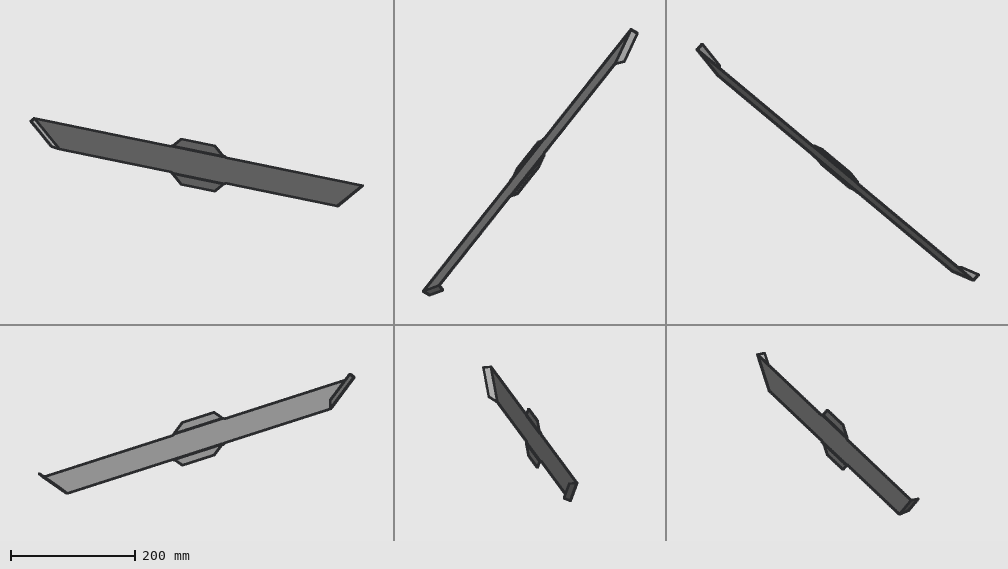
import cadquery as cq
import math

length = 593.5
depth = 13.0
height = 80.0
sheet = 0.9

strip_height = 45.0
half_length = length / 2
half_strip = strip_height / 2

flange_taper = 8.0

tab_step = 1.5
tab_tip_width = 60.5
ledge_width = 98.5
ledge_height = 2.1
riser_z = half_strip + ledge_height - sheet


def plate(points, front_y, thickness):
    """Plate with an XZ outline, extending from front_y towards +Y."""
    return cq.Workplane("XZ", origin=(0, front_y, 0)).polyline(points).close().extrude(-thickness)


def trapezoid(bottom_width, top_width, bottom_z, top_z):
    """Outline of a trapezoid centred on X = 0."""
    return [
        (-bottom_width / 2, bottom_z),
        (bottom_width / 2, bottom_z),
        (top_width / 2, top_z),
        (-top_width / 2, top_z),
    ]


def left_flange():
    """Flange folded forward along the left mitre, with its lower edge tapered."""
    wall_run = sheet * math.sqrt(2)
    lower_x = -half_length + strip_height
    outline = [
        (-half_length, half_strip),
        (lower_x, -half_strip),
        (lower_x + wall_run, -half_strip),
        (-half_length + wall_run, half_strip),
    ]
    wall = plate(outline, -depth, depth)
    side_profile = (
        cq.Workplane("YZ", origin=(-half_length, 0, 0))
        .polyline([
            (0, half_strip),
            (0, -half_strip),
            (-sheet, -half_strip),
            (-depth, -half_strip + flange_taper),
            (-depth, half_strip),
        ])
        .close()
        .extrude(half_length)
    )
    return wall.intersect(side_profile)


def upper_tab():
    """Ledge on the strip edge, riser stepping forward, and tab, with 45 degree flanks."""
    ledge_top = half_strip + ledge_height
    ledge_top_width = ledge_width - 2 * ledge_height
    tab_base_width = tab_tip_width + 2 * (height / 2 - riser_z)
    ledge = plate(trapezoid(ledge_width, ledge_top_width, half_strip, ledge_top), -sheet, sheet)
    riser = plate(
        trapezoid(tab_base_width, tab_base_width - 2 * sheet, riser_z, ledge_top),
        -sheet - tab_step,
        sheet + tab_step,
    )
    tab = plate(
        trapezoid(tab_base_width, tab_tip_width, riser_z, height / 2),
        -sheet - tab_step,
        sheet,
    )
    return ledge.union(riser).union(tab)


strip = plate(
    trapezoid(length - 2 * strip_height, length, -half_strip, half_strip),
    -sheet,
    sheet,
)
flange = left_flange()
tab = upper_tab()

result = (
    strip.union(flange)
    .union(flange.mirror("YZ"))
    .union(tab)
    .union(tab.mirror("XY"))
    .translate((0, depth / 2, 0))
)